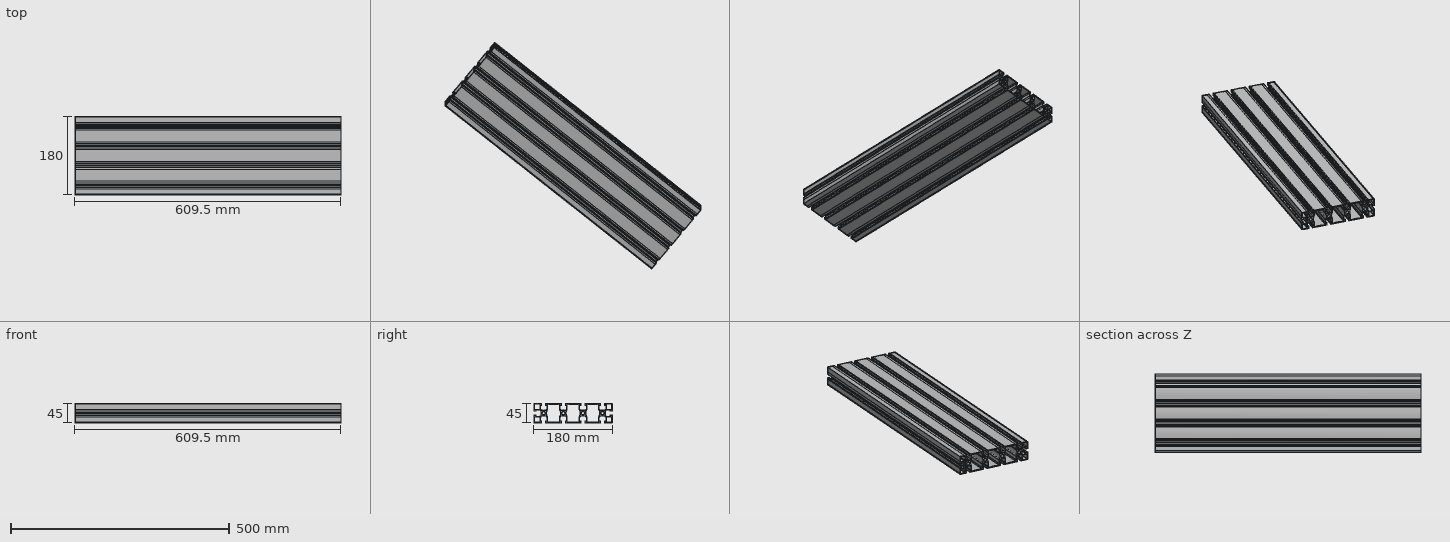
import cadquery as cq

length = 609.5
width = 180.0
height = 45.0
cell_count = 4
pitch = width / cell_count
corner_radius = 2.15

slot_opening = 9.0
lip_depth = 5.0
cavity_width = 15.0
slot_depth = 16.0
floor_width = 10.5
groove_width = 2.5
groove_depth = 1.0

skin = 2.0
web = 1.0
skin_bow = 1.05
bulge_height = 16.5
core_width = 13.0
bore_diameter = 7.5

half_height = height / 2
half_width = width / 2
slot_centers = [(i - (cell_count - 1) / 2) * pitch for i in range(cell_count)]
hollow_edge = cavity_width / 2 + web
shoulder_depth = slot_depth - (cavity_width - floor_width) / 2


def slot_cutter():
    """T-slot opening towards +Z, with the open face at Z = 0."""
    right_side = [
        (slot_opening / 2, 0),
        (slot_opening / 2, -lip_depth),
        (cavity_width / 2, -lip_depth),
        (cavity_width / 2, -shoulder_depth),
        (floor_width / 2, -slot_depth),
        (groove_width / 2, -slot_depth),
    ]
    left_side = [(-y, z) for y, z in reversed(right_side)]
    outline = right_side + [(0, -slot_depth - groove_depth)] + left_side
    return cq.Workplane("YZ").polyline(outline).close().extrude(length / 2, both=True)


def chamber_cutter():
    """Large hollow between two neighbouring cores, centred on the origin.

    Its sides bulge towards the cores and its ceiling and floor bow inwards.
    """
    wall = pitch / 2 - hollow_edge
    waist = pitch / 2 - core_width / 2
    ceiling = half_height - skin
    return (
        cq.Workplane("YZ")
        .moveTo(wall, -bulge_height / 2)
        .threePointArc((waist, 0), (wall, bulge_height / 2))
        .lineTo(wall, ceiling)
        .threePointArc((0, ceiling - skin_bow), (-wall, ceiling))
        .lineTo(-wall, bulge_height / 2)
        .threePointArc((-waist, 0), (-wall, -bulge_height / 2))
        .lineTo(-wall, -ceiling)
        .threePointArc((0, skin_bow - ceiling), (wall, -ceiling))
        .close()
        .extrude(length / 2, both=True)
    )


def corner_cutter():
    """Square-section hollow in the +Y +Z corner."""
    size = pitch / 2 - hollow_edge - skin
    middle_y = half_width - skin - size / 2
    middle_z = half_height - skin - size / 2
    return cq.Workplane("XY").box(length, size, size).translate((0, middle_y, middle_z))


profile = cq.Workplane("XY").box(length, width, height).edges("|X").fillet(corner_radius)

slot = slot_cutter()
for y in slot_centers:
    top_slot = slot.translate((0, y, half_height))
    profile = profile.cut(top_slot).cut(top_slot.mirror("XY"))

side_slot = slot.rotate((0, 0, 0), (1, 0, 0), -90).translate((0, half_width, 0))
profile = profile.cut(side_slot).cut(side_slot.mirror("XZ"))

chamber = chamber_cutter()
for y in slot_centers[:-1]:
    profile = profile.cut(chamber.translate((0, y + pitch / 2, 0)))

corner = corner_cutter()
for hollow in (corner, corner.mirror("XY")):
    profile = profile.cut(hollow).cut(hollow.mirror("XZ"))

bores = (
    cq.Workplane("YZ")
    .pushPoints([(y, 0) for y in slot_centers])
    .circle(bore_diameter / 2)
    .extrude(length / 2, both=True)
)
result = profile.cut(bores)